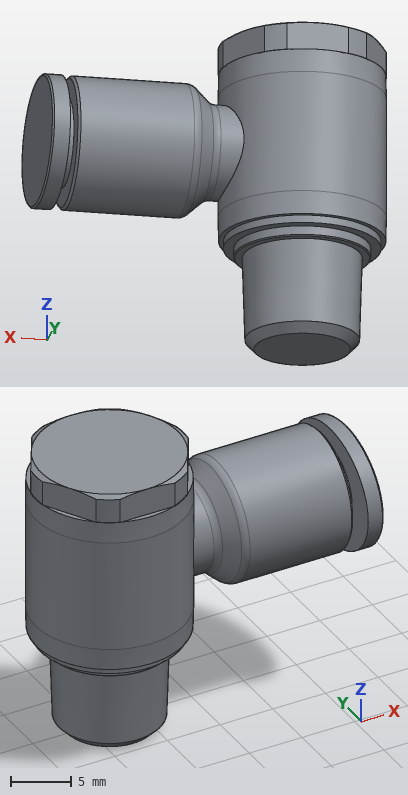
import cadquery as cq
import math


chamfer_top = 0.8
thread_top = 8.0
washer_top = 8.85
flange_top = 9.5
body_height = 14.5
body_top = flange_top + body_height
taper_height = 2.0
hex_height = 2.5
overall_height = body_top + hex_height

thread_tip_radius = 4.77
thread_taper = 1 / 32
thread_base_radius = thread_tip_radius + (thread_top - chamfer_top) * thread_taper
thread_end_radius = 4.0
washer_radius = 5.7
washer_chamfer = 0.1
flange_radius = 6.55
body_radius = 7.0
body_end_radius = 6.95

hex_across_flats = 13.0
hex_chamfer_angle = 25.0

branch_z = 16.75
branch_neck_radius = 4.0
branch_radius = 5.6
shoulder_start = 7.7
shoulder_angle = math.radians(42.0)
shoulder_blend_radius = 1.0
branch_end = 20.1
branch_chamfer = 0.22
stem_radius = 3.75
collar_start = 20.95
collar_end = 22.45
collar_width = 13.0
collar_height = 11.0
collar_chamfer = 0.15


def make_body():
    """Turned column: chamfered taper thread, washer, flange and barrel with tapered ends."""
    profile = (
        cq.Workplane("XZ")
        .moveTo(0, 0)
        .lineTo(thread_end_radius, 0)
        .lineTo(thread_tip_radius, chamfer_top)
        .lineTo(thread_base_radius, thread_top)
        .lineTo(washer_radius - washer_chamfer, thread_top)
        .lineTo(washer_radius, thread_top + washer_chamfer)
        .lineTo(washer_radius, washer_top)
        .lineTo(flange_radius, washer_top)
        .lineTo(flange_radius, flange_top)
        .lineTo(body_end_radius, flange_top)
        .lineTo(body_radius, flange_top + taper_height)
        .lineTo(body_radius, body_top - taper_height)
        .lineTo(body_end_radius, body_top)
        .lineTo(0, body_top)
        .close()
    )
    return profile.revolve(360, (0, 0, 0), (0, 1, 0))


def make_head():
    """Hexagon with flats facing +/-Y, its corners turned down and its top edge chamfered."""
    hexagon = (
        cq.Workplane("XY")
        .workplane(offset=body_top)
        .polygon(6, hex_across_flats / math.cos(math.pi / 6))
        .extrude(hex_height)
    )
    top_radius = hex_across_flats / 2
    chamfer_drop = (body_radius - top_radius) * math.tan(math.radians(hex_chamfer_angle))
    turned_blank = (
        cq.Workplane("XZ")
        .moveTo(0, body_top)
        .lineTo(body_radius, body_top)
        .lineTo(body_radius, overall_height - chamfer_drop)
        .lineTo(top_radius, overall_height)
        .lineTo(0, overall_height)
        .close()
        .revolve(360, (0, 0, 0), (0, 1, 0))
    )
    return hexagon.intersect(turned_blank)


def make_branch():
    """Turned branch: neck, blended conical shoulder, socket and the stem behind the collar."""
    blend_run = shoulder_blend_radius * math.sin(shoulder_angle)
    blend_rise = shoulder_blend_radius * (1 - math.cos(shoulder_angle))
    cone_start_radius = branch_neck_radius + blend_rise
    cone_end_radius = branch_radius - blend_rise
    cone_start = shoulder_start + blend_run
    cone_end = cone_start + (cone_end_radius - cone_start_radius) / math.tan(shoulder_angle)
    profile = (
        cq.Workplane("XZ", origin=(0, 0, branch_z))
        .lineTo(0, branch_neck_radius)
        .lineTo(shoulder_start, branch_neck_radius)
        .tangentArcPoint((cone_start, cone_start_radius), relative=False)
        .lineTo(cone_end, cone_end_radius)
        .tangentArcPoint((cone_end + blend_run, branch_radius), relative=False)
        .lineTo(branch_end - branch_chamfer, branch_radius)
        .lineTo(branch_end, branch_radius - branch_chamfer)
        .lineTo(branch_end, stem_radius)
        .lineTo(collar_start, stem_radius)
        .lineTo(collar_start, 0)
        .close()
    )
    return profile.revolve(360, (0, 0, 0), (1, 0, 0))


def make_collar():
    """Elliptical release collar, wider in Y than in Z, with a chamfered outer edge."""
    return (
        cq.Workplane("YZ", origin=(collar_start, 0, branch_z))
        .ellipse(collar_width / 2, collar_height / 2)
        .extrude(collar_end - collar_start)
        .faces(">X")
        .chamfer(collar_chamfer)
    )


result = make_body().union(make_head()).union(make_branch()).union(make_collar())